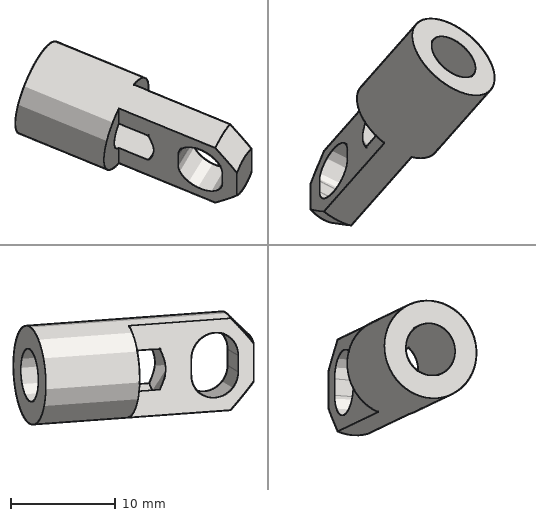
import cadquery as cq
import math

total_length = 22.23
body_diameter = 9.54
barrel_length = 9.54
tongue_thickness = 3.15
tip_chamfer = 2.33
bore_diameter = 5.1
bore_depth = 12.7
drill_point_angle = 118.0
slot_width = 4.75
slot_height = 6.35
slot_center_x = 18.27

body_radius = body_diameter / 2
bore_radius = bore_diameter / 2
drill_point_length = bore_radius / math.tan(math.radians(drill_point_angle / 2))
tongue_length = total_length - barrel_length


def turned_body():
    """Round bar with a conical chamfer at its far end."""
    bar = cq.Workplane("YZ").circle(body_radius).extrude(total_length)
    return bar.faces(">X").chamfer(tip_chamfer)


def side_cut(side):
    """Block that flattens one side (+1 or -1 along Y) of the tongue."""
    block = cq.Workplane("XY").box(
        tongue_length, body_diameter, body_diameter, centered=(False, True, True)
    )
    offset_y = side * (tongue_thickness + body_diameter) / 2
    return block.translate((barrel_length, offset_y, 0))


def blind_bore():
    """Axial drilled hole with a conical bottom."""
    return (
        cq.Workplane("XY")
        .polyline([
            (0, 0),
            (0, bore_radius),
            (bore_depth, bore_radius),
            (bore_depth + drill_point_length, 0),
        ])
        .close()
        .revolve(360, (0, 0, 0), (1, 0, 0))
    )


def eye_slot():
    """Upright round-ended slot through the tongue."""
    return (
        cq.Workplane("XZ")
        .center(slot_center_x, 0)
        .slot2D(slot_height, slot_width, 90)
        .extrude(tongue_thickness, both=True)
    )


result = turned_body()
for side in (1, -1):
    result = result.cut(side_cut(side))
result = result.cut(blind_bore()).cut(eye_slot())